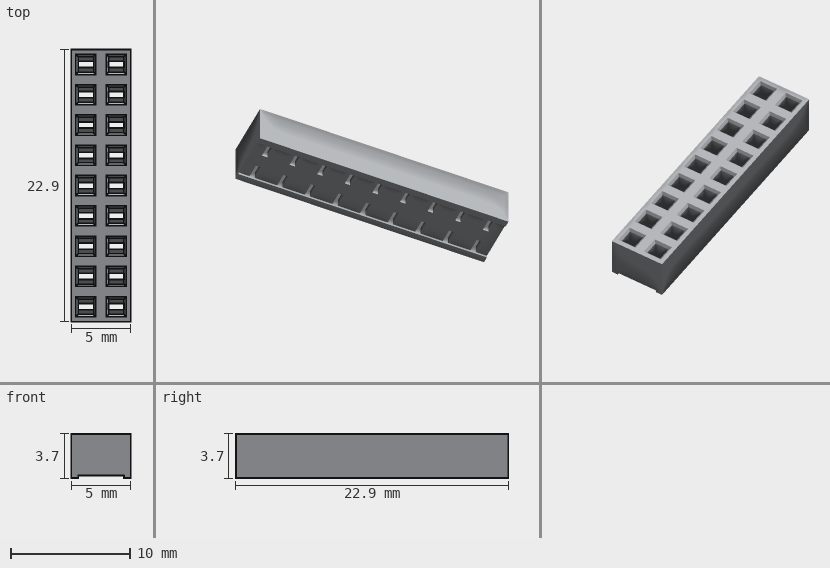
import cadquery as cq

length = 22.85
width = 5.0
height = 3.7

row_count = 9
column_count = 2
pitch = length / row_count

well_side = 1.28
mouth_chamfer = 0.2
mouth_side = well_side + 2 * mouth_chamfer
slot_width = 0.5
floor_thickness = 0.69

foot_width = 0.6
channel_depth = 0.2
channel_width = width - 2 * foot_width


def make_block():
    """Plain rectangular body centred on X and Y."""
    return cq.Workplane("XY").box(width, length, height, centered=(True, True, False))


def make_channel():
    """Cutter for the channel running the full length of the underside."""
    return cq.Workplane("XY").box(channel_width, length, channel_depth, centered=(True, True, False))


def make_cavity():
    """Cutter for one cavity, centred on the Z axis."""
    floor_top = channel_depth + floor_thickness
    slot = cq.Workplane("XY").rect(well_side, slot_width).extrude(height)
    well = (
        cq.Workplane("XY", origin=(0, 0, floor_top))
        .rect(well_side, well_side)
        .extrude(height - floor_top)
    )
    mouth = (
        cq.Workplane("XY", origin=(0, 0, height - mouth_chamfer))
        .rect(well_side, well_side)
        .workplane(offset=mouth_chamfer)
        .rect(mouth_side, mouth_side)
        .loft(ruled=True)
    )
    return slot.union(well).union(mouth)


result = make_block().cut(make_channel())

cavity = make_cavity()
for column in range(column_count):
    x = (column - (column_count - 1) / 2) * pitch
    for row in range(row_count):
        y = (row - (row_count - 1) / 2) * pitch
        result = result.cut(cavity.translate((x, y, 0)))